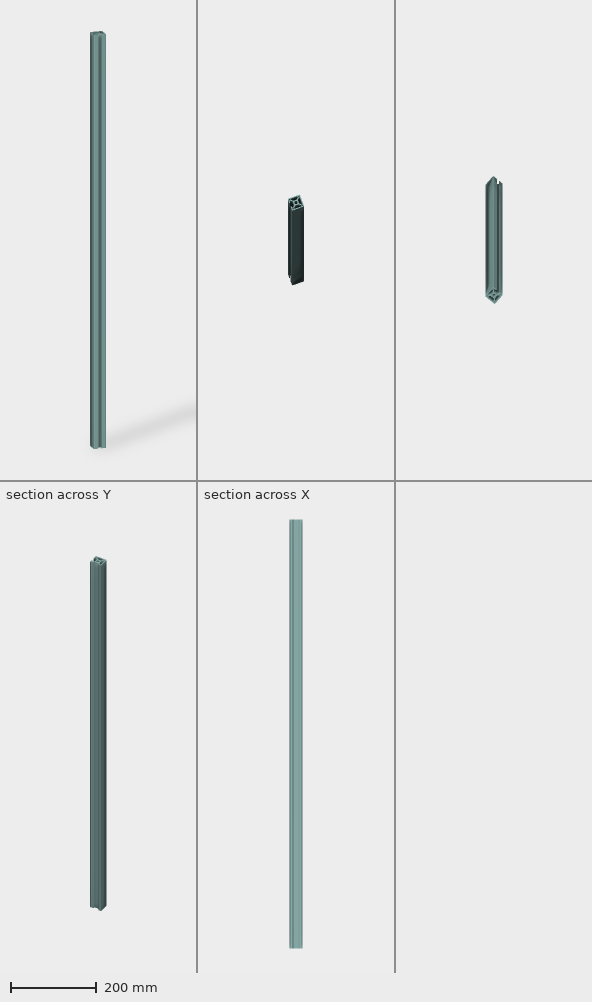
import cadquery as cq

side = 30.0
length = 1000.0
corner_radius = 2.0
half_side = side / 2

wall = 2.2
channel_shoulder_depth = 5.0
channel_depth = 9.0
channel_width = 17.0
channel_base_width = 8.5

mouth_width = 8.2

core_bore_diameter = 7.5

hollow_side = 3.0
hollow_spacing = side - 2 * wall - hollow_side

channel_angles = (0, 90, 180, 270)


def make_blank():
    """Square bar with rounded long edges."""
    return cq.Workplane("XY").rect(side, side).extrude(length).edges("|Z").fillet(corner_radius)


def make_channel(angle):
    """Channel behind one side face, widest at the wall and tapering to the core."""
    outer = half_side - wall
    shoulder = half_side - channel_shoulder_depth
    base = half_side - channel_depth
    outline = [
        (outer, -channel_width / 2),
        (outer, channel_width / 2),
        (shoulder, channel_width / 2),
        (base, channel_base_width / 2),
        (base, -channel_base_width / 2),
        (shoulder, -channel_width / 2),
    ]
    channel = cq.Workplane("XY").polyline(outline).close().extrude(length)
    return channel.rotate((0, 0, 0), (0, 0, 1), angle)


def make_mouth():
    """Slot through the +X wall that opens its channel to the outside."""
    return cq.Workplane("XY").center(half_side - wall / 2, 0).rect(wall, mouth_width).extrude(length)


def make_core_bore():
    """Round bore on the axis of the bar."""
    return cq.Workplane("XY").circle(core_bore_diameter / 2).extrude(length)


def make_corner_hollows():
    """Four square hollows, one in each corner."""
    centres = cq.Workplane("XY").rect(hollow_spacing, hollow_spacing, forConstruction=True).vertices()
    return centres.rect(hollow_side, hollow_side).extrude(length)


result = make_blank().cut(make_core_bore()).cut(make_corner_hollows())
for channel_angle in channel_angles:
    result = result.cut(make_channel(channel_angle))
result = result.cut(make_mouth())